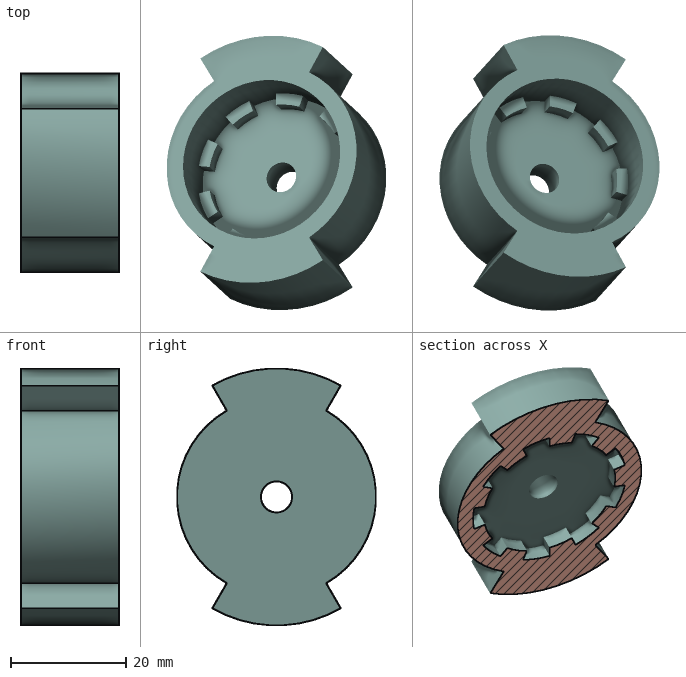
import cadquery as cq
import math

width = 17.0
lug_tip_radius = 22.25
lug_angle = 60.0
lug_count = 2

body_radius = 34.5 / 2
wall_thickness = 3.0
bore_radius = body_radius - wall_thickness
floor_thickness = 5.75
bore_depth = width - floor_thickness
hole_radius = 2.65

tab_count = 9
tab_angle = 360 / tab_count / 2
tab_height = 2.0
tab_length = 3.0


def cylinder(radius, start, length):
    """Solid cylinder on the X axis, starting at X = start."""
    return cq.Workplane("YZ", origin=(start, 0, 0)).circle(radius).extrude(length)


def polar(radius, angle):
    """Point in the YZ plane, with the angle in degrees from +Y towards +Z."""
    turn = math.radians(angle)
    return radius * math.cos(turn), radius * math.sin(turn)


def ring_sector(inner_radius, outer_radius, middle_angle, sector_angle, start, length):
    """Piece of a ring with radial sides, centred on middle_angle."""
    first = middle_angle - sector_angle / 2
    last = middle_angle + sector_angle / 2
    return (
        cq.Workplane("YZ", origin=(start, 0, 0))
        .moveTo(*polar(inner_radius, first))
        .lineTo(*polar(outer_radius, first))
        .threePointArc(polar(outer_radius, middle_angle), polar(outer_radius, last))
        .lineTo(*polar(inner_radius, last))
        .threePointArc(polar(inner_radius, middle_angle), polar(inner_radius, first))
        .close()
        .extrude(length)
    )


cup = cylinder(body_radius, 0, width)
cup = cup.cut(cylinder(bore_radius, 0, bore_depth))
cup = cup.cut(cylinder(hole_radius, 0, width))

lug_root_radius = body_radius - wall_thickness / 2
for index in range(lug_count):
    lug_middle = 90 + index * 360 / lug_count
    cup = cup.union(ring_sector(lug_root_radius, lug_tip_radius, lug_middle, lug_angle, 0, width))

tab_inner_radius = bore_radius - tab_height
tab_root_radius = bore_radius + wall_thickness / 2
tab_start = bore_depth - tab_length
for index in range(tab_count):
    tab_middle = 180 + index * 360 / tab_count
    cup = cup.union(
        ring_sector(tab_inner_radius, tab_root_radius, tab_middle, tab_angle, tab_start, tab_length)
    )

result = cup